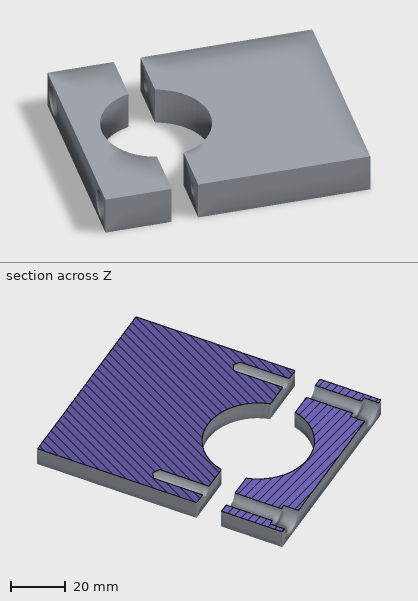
import cadquery as cq

WIDTH = 80.0
LENGTH = 100.0
THICKNESS = 15.0
CAP_LENGTH = 25.0
GAP = 10.0

BORE_DIAMETER = 40.8
BASE_FRONT_Y = CAP_LENGTH + GAP
BORE_Y = CAP_LENGTH + GAP / 2

SCREW_SPACING = 65.0
HEAD_DIAMETER = 11.0
HEAD_DEPTH = 6.0
CLEARANCE_DIAMETER = 7.0
TAP_DIAMETER = 5.0
TAP_DEPTH = 20.0
TAP_TIP_DEPTH = 1.5
SCREW_XS = [WIDTH / 2 - SCREW_SPACING / 2, WIDTH / 2 + SCREW_SPACING / 2]

ALONG_Y = cq.Vector(0, 1, 0)


def bored_block(front_y, length):
    """Full-width block with its share of the clamping bore removed."""
    block = cq.Workplane("XY").box(WIDTH, length, THICKNESS, centered=False)
    block = block.translate((0, front_y, 0))
    bore = cq.Workplane("XY").center(WIDTH / 2, BORE_Y).circle(BORE_DIAMETER / 2).extrude(THICKNESS)
    return block.cut(bore)


def screw_axis_point(x, y):
    return cq.Vector(x, y, THICKNESS / 2)


def make_cap():
    """Front clamp half with counterbored clearance holes."""
    cap = bored_block(0, CAP_LENGTH)
    for x in SCREW_XS:
        start = screw_axis_point(x, 0)
        cap = cap.cut(cq.Workplane(cq.Solid.makeCylinder(CLEARANCE_DIAMETER / 2, CAP_LENGTH, start, ALONG_Y)))
        cap = cap.cut(cq.Workplane(cq.Solid.makeCylinder(HEAD_DIAMETER / 2, HEAD_DEPTH, start, ALONG_Y)))
    return cap


def make_base():
    """Rear clamp half with blind, cone-ended tapping holes."""
    base = bored_block(BASE_FRONT_Y, LENGTH - BASE_FRONT_Y)
    for x in SCREW_XS:
        start = screw_axis_point(x, BASE_FRONT_Y)
        tip_start = screw_axis_point(x, BASE_FRONT_Y + TAP_DEPTH)
        base = base.cut(cq.Workplane(cq.Solid.makeCylinder(TAP_DIAMETER / 2, TAP_DEPTH, start, ALONG_Y)))
        base = base.cut(cq.Workplane(cq.Solid.makeCone(TAP_DIAMETER / 2, 0, TAP_TIP_DEPTH, tip_start, ALONG_Y)))
    return base


cap = make_cap()
base = make_base()

result = cq.Compound.makeCompound([cap.val(), base.val()])